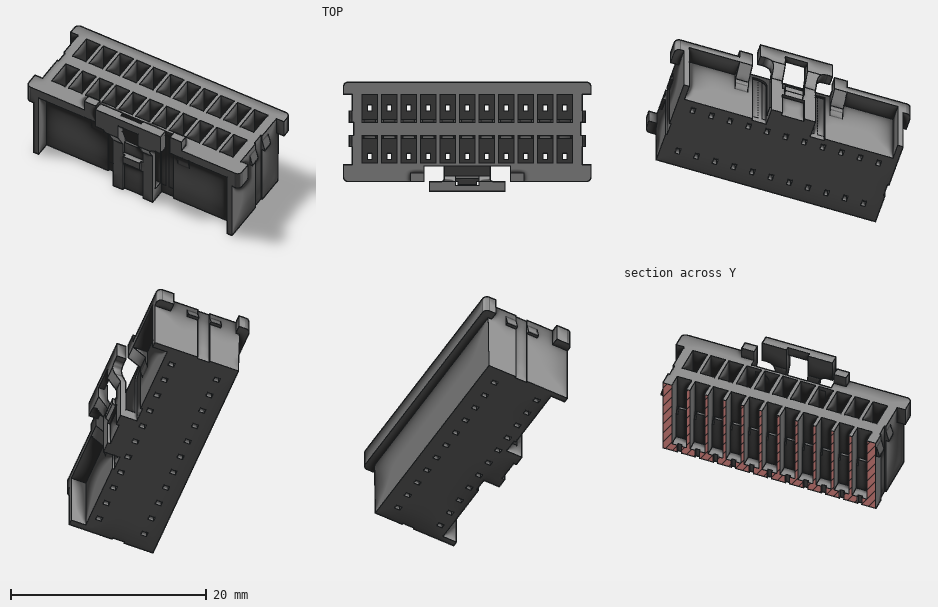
import cadquery as cq


length = 25.4
body_width = 23.62
body_top = 9.27
back_bottom_y = 9.25
back_top_y = 9.37
flange_back_y = 10.2

panel_y = 1.6
panel_width = 22.45
front_flange_bottom = 8.18

ear_bottom = 7.2
ear_front_depth = 1.75
ear_back_depth = 1.27
ear_radius = 0.5

cavity_count = 11
cavity_row_length = 20.0
cavity_pitch = cavity_row_length / (cavity_count - 1)
cavity_width = 1.6
cavity_depth_y = 2.85
cavity_floor = 1.02
web_front_y = 4.75
web_back_y = 6.07
pin_hole_width = 0.45
pin_hole_depth_y = 0.6
front_pin_y = 2.6
back_pin_y = 7.57

ledge_depth = 0.3
ledge_middle_width = 1.22
ledge_top = 5.08
ledge_slope_height = 0.86

side_groove_depth = 0.15
catch_reach = 0.3
catch_top = 8.48
catch_lip_top = 7.35
catch_bottom = 7.21
catch_front_width = 1.17
catch_back_width = 1.2

latch_gap_half = 4.42
post_width = 1.37
post_depth = 0.9
post_top = 10.52
gusset_face_y = 1.4
gusset_face_top = 7.0
gusset_face_bottom = 6.2
gusset_bottom = 5.28

latch_width = 7.77
latch_top = 11.15
head_thickness = 1.0
head_bottom = 8.4
arm_width = 4.72
arm_thickness = 0.58
arm_slope_bottom = 6.65
arm_back_slope_top = 8.43
arm_back_slope_bottom = 6.85
foot_height = 1.5

relief_top = 8.7
relief_radius = 1.0
relief_wall_y = 1.8

window_width = 2.4
window_top = 10.13
head_groove_depth = 0.38
arm_groove_depth = 0.3
bump_width = 1.93
bump_reach = 0.3
bump_top = 5.2
bump_chamfer_top = 4.3
bump_bottom = 3.84


def box(x0, x1, y0, y1, z0, z1):
    """Axis-aligned block between two opposite corners."""
    return cq.Workplane("XY").box(x1 - x0, y1 - y0, z1 - z0, centered=False).translate((x0, y0, z0))


def wide_box(width, y0, y1, z0, z1):
    """Block centred on X."""
    return box(-width / 2, width / 2, y0, y1, z0, z1)


def side_profile(points, x0, x1):
    """Extrude a (Y, Z) outline from x0 to x1."""
    return cq.Workplane("YZ").polyline(points).close().extrude(x1 - x0).translate((x0, 0, 0))


def both_sides(shape):
    """The shape together with its mirror image across X = 0."""
    return shape.union(shape.mirror("YZ"))


def make_flanges():
    """Rounded end-to-end plate, kept only as the ears and the back flange."""
    plate = wide_box(length, 0, flange_back_y, ear_bottom, body_top).edges("|Z").fillet(ear_radius)
    front = wide_box(length, 0, ear_front_depth, ear_bottom, body_top)
    back = wide_box(length, flange_back_y - ear_back_depth, flange_back_y, ear_bottom, body_top)
    return plate.intersect(front.union(back))


def make_housing():
    """Block with drafted back, flanges, set-back front panel and latch gap."""
    outline = [(0, 0), (back_bottom_y, 0), (back_top_y, body_top), (0, body_top)]
    block = side_profile(outline, -body_width / 2, body_width / 2).union(make_flanges())
    panel_recess = wide_box(panel_width, 0, panel_y, 0, front_flange_bottom)
    latch_gap = wide_box(2 * latch_gap_half, 0, panel_y, 0, body_top)
    side_groove = box(
        body_width / 2 - side_groove_depth, body_width / 2, web_front_y, web_back_y, 0, body_top
    )
    return block.cut(panel_recess).cut(latch_gap).cut(both_sides(side_groove))


def make_cavity(web_y, outward, pin_y):
    """One contact cavity centred on X; outward is the Y direction away from the web."""
    outer_y = web_y + outward * cavity_depth_y
    ledge_y = web_y + outward * ledge_depth
    cavity = wide_box(cavity_width, min(web_y, outer_y), max(web_y, outer_y), cavity_floor, body_top)
    ledge_middle = wide_box(
        ledge_middle_width, min(web_y, ledge_y), max(web_y, ledge_y), cavity_floor, ledge_top
    )
    sloped_outline = [
        (web_y, cavity_floor),
        (ledge_y, cavity_floor),
        (ledge_y, ledge_top - ledge_slope_height),
        (web_y, ledge_top),
    ]
    ledge_sides = side_profile(sloped_outline, -cavity_width / 2, cavity_width / 2)
    pin_hole = wide_box(
        pin_hole_width, pin_y - pin_hole_depth_y / 2, pin_y + pin_hole_depth_y / 2, 0, cavity_floor
    )
    return cavity.cut(ledge_middle).cut(ledge_sides).union(pin_hole)


def cut_cavities(body):
    """Two rows of cavities on both sides of the central web."""
    front_cavity = make_cavity(web_front_y, -1, front_pin_y)
    back_cavity = make_cavity(web_back_y, 1, back_pin_y)
    for index in range(cavity_count):
        x = (index - (cavity_count - 1) / 2) * cavity_pitch
        body = body.cut(front_cavity.translate((x, 0, 0)))
        body = body.cut(back_cavity.translate((x, 0, 0)))
    return body


def make_catches():
    """Wedge-shaped catches on the side walls, either side of the groove."""
    wall_x = body_width / 2
    outline = [
        (wall_x - side_groove_depth, catch_bottom),
        (wall_x + catch_reach, catch_bottom),
        (wall_x + catch_reach, catch_lip_top),
        (wall_x, catch_top),
        (wall_x - side_groove_depth, catch_top),
    ]

    def catch(y0, width):
        return cq.Workplane("XZ").polyline(outline).close().extrude(-width).translate((0, y0, 0))

    front = catch(web_front_y - catch_front_width, catch_front_width)
    back = catch(web_back_y, catch_back_width)
    return both_sides(front.union(back))


def make_posts():
    """Posts standing on the front flange, each with a gusset below it."""
    x0 = latch_gap_half
    x1 = latch_gap_half + post_width
    post = box(x0, x1, 0, post_depth, front_flange_bottom, post_top)
    gusset_outline = [
        (panel_y, front_flange_bottom),
        (0, front_flange_bottom),
        (gusset_face_y, gusset_face_top),
        (gusset_face_y, gusset_face_bottom),
        (panel_y, gusset_bottom),
    ]
    return both_sides(post.union(side_profile(gusset_outline, x0, x1)))


def make_latch():
    """Foot, upright arm and overhanging head, all at full latch width."""
    outline = [
        (panel_y, 0),
        (0, 0),
        (0, arm_slope_bottom),
        (-head_thickness, head_bottom),
        (-head_thickness, latch_top),
        (0, latch_top),
        (0, arm_back_slope_top),
        (arm_thickness, arm_back_slope_bottom),
        (arm_thickness, foot_height),
        (panel_y, foot_height),
    ]
    return side_profile(outline, -latch_width / 2, latch_width / 2)


def make_reliefs():
    """Openings beside the arm, rounded where the arm flares into the head."""
    relief = box(arm_width / 2, latch_width / 2, -head_thickness, relief_wall_y, 0, relief_top)
    return both_sides(relief.edges("|Y and >Z and <X").fillet(relief_radius))


def make_latch_openings():
    """Window through the latch, with grooves running on up the head and down the arm."""
    window = wide_box(window_width, -head_thickness, arm_thickness, arm_slope_bottom, window_top)
    head_groove = wide_box(window_width, -head_groove_depth, 0, arm_slope_bottom, latch_top)
    upper_groove = wide_box(window_width, 0, arm_groove_depth, bump_top, arm_slope_bottom)
    lower_groove = wide_box(window_width, 0, arm_groove_depth, 0, bump_bottom)
    return window.union(head_groove).union(upper_groove).union(lower_groove)


def make_bump():
    """Locking bump with a chamfered underside."""
    outline = [
        (arm_groove_depth, bump_bottom),
        (0, bump_bottom),
        (-bump_reach, bump_chamfer_top),
        (-bump_reach, bump_top),
        (arm_groove_depth, bump_top),
    ]
    return side_profile(outline, -bump_width / 2, bump_width / 2)


latch = make_latch().cut(make_latch_openings()).union(make_bump())
body = cut_cavities(make_housing())
result = body.union(latch).cut(make_reliefs()).union(make_posts()).union(make_catches())